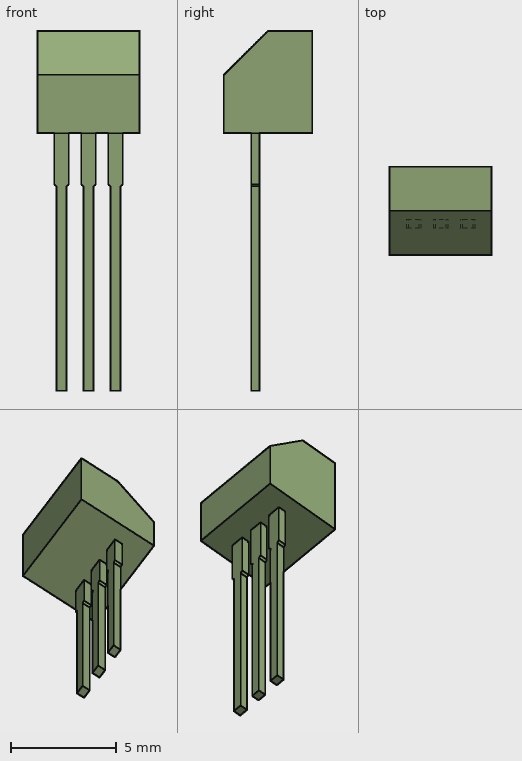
import cadquery as cq

total_height = 17.03
body_width = 4.84
body_depth = 4.19
body_height = 4.84
bevel_depth = body_depth / 2
bevel_height = 2.08

lead_count = 3
lead_pitch = 1.28
lead_thickness = 0.41
lead_setback = 1.5
wide_width = 0.7
narrow_width = 0.48
wide_length = 2.42
taper_length = 0.1
lead_length = total_height - body_height


def make_body():
    """Block standing on Z = 0, centred on X, front face on Y = 0, bevelled at the top front edge."""
    return (
        cq.Workplane("YZ")
        .moveTo(0, 0)
        .lineTo(body_depth, 0)
        .lineTo(body_depth, body_height)
        .lineTo(bevel_depth, body_height)
        .lineTo(0, body_height - bevel_height)
        .close()
        .extrude(body_width / 2, both=True)
    )


def make_lead(x_center):
    """Flat lead hanging from the underside of the body, tapering from a wide root to a narrow leg."""
    taper_end = wide_length + taper_length
    return (
        cq.Workplane("XZ")
        .moveTo(wide_width / 2, 0)
        .lineTo(wide_width / 2, -wide_length)
        .lineTo(narrow_width / 2, -taper_end)
        .lineTo(narrow_width / 2, -lead_length)
        .lineTo(-narrow_width / 2, -lead_length)
        .lineTo(-narrow_width / 2, -taper_end)
        .lineTo(-wide_width / 2, -wide_length)
        .lineTo(-wide_width / 2, 0)
        .close()
        .extrude(lead_thickness / 2, both=True)
        .translate((x_center, lead_setback, 0))
    )


body = make_body()

leads = []
for index in range(lead_count):
    x_center = (index - (lead_count - 1) / 2) * lead_pitch
    leads.append(make_lead(x_center))

result = cq.Compound.makeCompound([body.val(), *[lead.val() for lead in leads]])